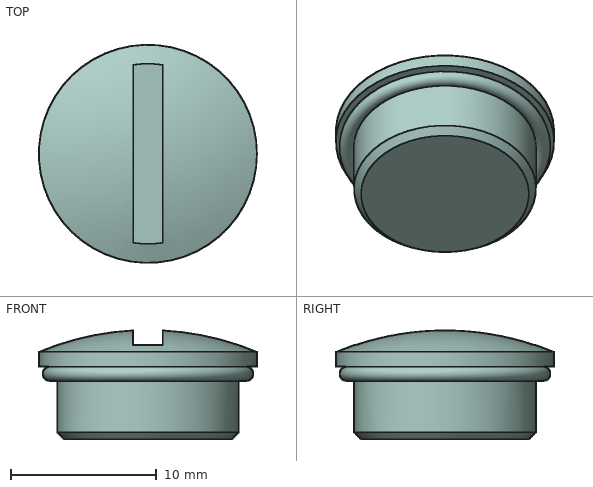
import cadquery as cq

shank_height = 5.0
flange_thickness = 1.0
dome_height = 1.52
flange_top = shank_height + flange_thickness
apex_height = flange_top + dome_height

flange_radius = 7.5
shank_radius = 6.25
bottom_chamfer = 0.5
ring_section_radius = 0.5

slot_width = 2.02
slot_floor = 6.5


def make_screw_plug():
    """Chamfered shank, flange and spherical dome, slotted across the top."""
    dome_radius = (flange_radius**2 + dome_height**2) / (2 * dome_height)
    dome_center_z = apex_height - dome_radius
    mid_radius = flange_radius / 2
    mid_height = dome_center_z + (dome_radius**2 - mid_radius**2) ** 0.5

    plug = (
        cq.Workplane("XZ")
        .lineTo(shank_radius - bottom_chamfer, 0)
        .lineTo(shank_radius, bottom_chamfer)
        .lineTo(shank_radius, shank_height)
        .lineTo(flange_radius, shank_height)
        .lineTo(flange_radius, flange_top)
        .threePointArc((mid_radius, mid_height), (0, apex_height))
        .close()
        .revolve(360, (0, 0, 0), (0, 1, 0))
    )
    slot = (
        cq.Workplane("XY", origin=(0, 0, slot_floor))
        .rect(slot_width, 2 * flange_radius)
        .extrude(apex_height - slot_floor)
    )
    return plug.cut(slot)


def make_sealing_ring():
    """Round-section ring that touches the shank and the flange underside."""
    center_radius = shank_radius + ring_section_radius
    center_height = shank_height - ring_section_radius
    return (
        cq.Workplane("XZ")
        .center(center_radius, center_height)
        .circle(ring_section_radius)
        .revolve(360, (-center_radius, 0, 0), (-center_radius, 1, 0))
    )


screw_plug = make_screw_plug()
sealing_ring = make_sealing_ring()
result = cq.Compound.makeCompound([screw_plug.val(), sealing_ring.val()])